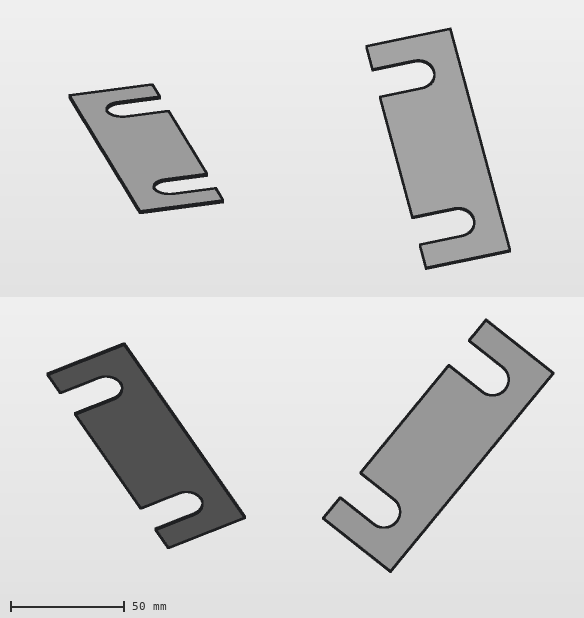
import cadquery as cq

length = 114.3
depth = 38.1
thickness = 1.0
slot_width = 14.2
slot_spacing = length * 2 / 3

slot_radius = slot_width / 2


def open_slot(center_x):
    """Cutter with its round end centred at mid-depth, running out through the +Y edge."""
    round_end = cq.Workplane("XY").center(center_x, 0).circle(slot_radius).extrude(thickness)
    straight = (
        cq.Workplane("XY")
        .center(center_x, 0)
        .rect(slot_width, depth)
        .extrude(thickness)
        .translate((0, depth / 2, 0))
    )
    return round_end.union(straight)


result = cq.Workplane("XY").box(length, depth, thickness, centered=(True, True, False))
for side in (-1, 1):
    result = result.cut(open_slot(side * slot_spacing / 2))